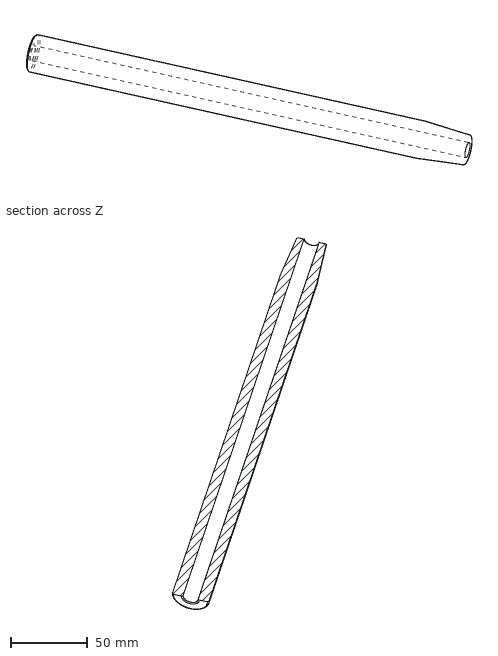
import math

import cadquery as cq

length = 300.0
outer_diameter = 25.0
start_chamfer = 1.0
tip_diameter = 20.0
taper_half_angle = 4.5
tip_fillet_radius = 1.0
bore_diameter = 10.0
bore_mouth_diameter = 12.0
bore_mouth_half_angle = 60.0

outer_radius = outer_diameter / 2
tip_radius = tip_diameter / 2
taper_length = (outer_radius - tip_radius) / math.tan(math.radians(taper_half_angle))
taper_start = length - taper_length
bore_radius = bore_diameter / 2
bore_mouth_radius = bore_mouth_diameter / 2
bore_mouth_depth = (bore_mouth_radius - bore_radius) / math.tan(math.radians(bore_mouth_half_angle))


def revolve_about_axis(half_section):
    """Turn a closed half section of (x, radius) points about the X axis."""
    profile = cq.Workplane("XY").polyline(half_section).close()
    return profile.revolve(360, (0, 0, 0), (-1, 0, 0))


def make_bar():
    """Solid round bar with a chamfered start and a tapered tip with a rounded rim."""
    bar = revolve_about_axis([
        (0, 0),
        (0, outer_radius - start_chamfer),
        (start_chamfer, outer_radius),
        (taper_start, outer_radius),
        (length, tip_radius),
        (length, 0),
    ])
    return bar.faces(">X").edges().fillet(tip_fillet_radius)


def make_bore():
    """Through bore with a countersunk mouth at the start of the bar."""
    return revolve_about_axis([
        (0, 0),
        (0, bore_mouth_radius),
        (bore_mouth_depth, bore_radius),
        (length, bore_radius),
        (length, 0),
    ])


result = make_bar().cut(make_bore())